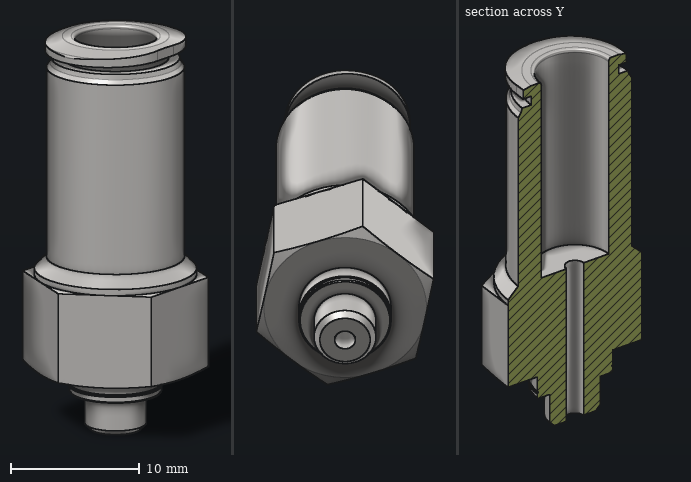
import cadquery as cq
import math

COLLAR_BOTTOM = 3.0
COLLAR_HEIGHT = 2.0
HEX_HEIGHT = 7.5
RIM_HEIGHT = 0.5
BODY_TOP = 30.05
OVERALL_HEIGHT = 31.8
FLANGE_THICKNESS = 1.0

SPIGOT_DIA = 4.83
COLLAR_DIA = 7.2
HEX_ACROSS_FLATS = 12.7
RIM_DIA = HEX_ACROSS_FLATS
BODY_DIA = 10.8
NECK_DIA = 8.35
BORE_DIA = 6.35
PORT_DIA = 1.61

TIP_CHAMFER = 0.45
GASKET_THICKNESS = 0.6
GASKET_EDGE = 0.1
BODY_EDGE_STEP = 0.38
BODY_BEVEL_INSET = 0.25
BODY_TOP_INSET = 0.38
HEX_CHAMFER_ANGLE = 15
FLANGE_WIDTH = 9.8
FLANGE_LENGTH = 11.8
FLANGE_SLOPE_ANGLE = 12
FLANGE_EDGE_RADIUS = 0.2
BORE_EDGE_RADIUS = 0.3

GASKET_TOP = COLLAR_BOTTOM + GASKET_THICKNESS
HEX_BOTTOM = COLLAR_BOTTOM + COLLAR_HEIGHT
HEX_TOP = HEX_BOTTOM + HEX_HEIGHT
RIM_TOP = HEX_TOP + RIM_HEIGHT
SHOULDER_TOP = RIM_TOP + (RIM_DIA - BODY_DIA) / 2
FLANGE_BOTTOM = OVERALL_HEIGHT - FLANGE_THICKNESS
BORE_FLOOR = SHOULDER_TOP


def revolve_profile(points):
    """Revolve a closed (radius, z) outline about the Z axis."""
    return cq.Workplane("XZ").polyline(points).close().revolve(360, (0, 0), (0, 1))


def cylinder(diameter, bottom, top):
    """Upright cylinder on the Z axis."""
    return cq.Workplane("XY").workplane(offset=bottom).circle(diameter / 2).extrude(top - bottom)


def make_spigot():
    """Chamfered tip below the collar."""
    return cylinder(SPIGOT_DIA, 0, COLLAR_BOTTOM).faces("<Z").chamfer(TIP_CHAMFER)


def make_collar():
    """Collar under the hexagon and a gasket ring, both bevelled to leave a V-groove between them."""
    gasket = cylinder(COLLAR_DIA, COLLAR_BOTTOM, GASKET_TOP).edges().chamfer(GASKET_EDGE)
    collar = cylinder(COLLAR_DIA, GASKET_TOP, HEX_BOTTOM).faces("<Z").chamfer(GASKET_EDGE)
    return collar.union(gasket)


def make_hexagon():
    """Hexagon with flats facing +X and -X and its lower corners chamfered."""
    across_corners = HEX_ACROSS_FLATS / math.cos(math.radians(30))
    hexagon = (
        cq.Workplane("XY")
        .workplane(offset=HEX_BOTTOM)
        .transformed(rotate=(0, 0, 90))
        .polygon(6, across_corners)
        .extrude(HEX_HEIGHT)
    )
    flat_radius = HEX_ACROSS_FLATS / 2
    envelope_radius = across_corners
    rise = (envelope_radius - flat_radius) * math.tan(math.radians(HEX_CHAMFER_ANGLE))
    envelope = revolve_profile([
        (0, HEX_BOTTOM),
        (flat_radius, HEX_BOTTOM),
        (envelope_radius, HEX_BOTTOM + rise),
        (envelope_radius, HEX_TOP),
        (0, HEX_TOP),
    ])
    return hexagon.intersect(envelope)


def make_body():
    """Rim, 45 degree shoulder, sleeve with a double-bevelled top, and neck."""
    body_radius = BODY_DIA / 2
    return revolve_profile([
        (0, HEX_TOP),
        (RIM_DIA / 2, HEX_TOP),
        (RIM_DIA / 2, RIM_TOP),
        (body_radius, SHOULDER_TOP),
        (body_radius, BODY_TOP - 2 * BODY_EDGE_STEP),
        (body_radius - BODY_BEVEL_INSET, BODY_TOP - BODY_EDGE_STEP),
        (body_radius - BODY_TOP_INSET, BODY_TOP),
        (NECK_DIA / 2, BODY_TOP),
        (NECK_DIA / 2, FLANGE_BOTTOM),
        (0, FLANGE_BOTTOM),
    ])


def make_flange():
    """Obround release flange whose top slopes down to a rounded edge outside the neck diameter."""
    obround = (
        cq.Workplane("XY")
        .workplane(offset=FLANGE_BOTTOM)
        .slot2D(FLANGE_LENGTH, FLANGE_WIDTH, 90)
        .extrude(FLANGE_THICKNESS)
    )
    slope = math.radians(FLANGE_SLOPE_ANGLE)
    neck_radius = NECK_DIA / 2
    outer_radius = FLANGE_LENGTH / 2
    corner_level = OVERALL_HEIGHT - (outer_radius - neck_radius) * math.tan(slope)
    tangent_length = FLANGE_EDGE_RADIUS * math.tan((math.pi / 2 - slope) / 2)
    slope_end = (
        outer_radius - tangent_length * math.cos(slope),
        corner_level + tangent_length * math.sin(slope),
    )
    envelope = (
        cq.Workplane("XZ")
        .moveTo(0, FLANGE_BOTTOM)
        .lineTo(outer_radius, FLANGE_BOTTOM)
        .lineTo(outer_radius, corner_level - tangent_length)
        .radiusArc(slope_end, -FLANGE_EDGE_RADIUS)
        .lineTo(neck_radius, OVERALL_HEIGHT)
        .lineTo(0, OVERALL_HEIGHT)
        .close()
        .revolve(360, (0, 0), (0, 1))
    )
    return obround.intersect(envelope)


def make_passage():
    """Tube bore with a rounded mouth, and the narrow port running out of the tip."""
    bore_radius = BORE_DIA / 2
    mouth_start = OVERALL_HEIGHT - BORE_EDGE_RADIUS
    bore = (
        cq.Workplane("XZ")
        .moveTo(0, BORE_FLOOR)
        .lineTo(bore_radius, BORE_FLOOR)
        .lineTo(bore_radius, mouth_start)
        .radiusArc((bore_radius + BORE_EDGE_RADIUS, OVERALL_HEIGHT), BORE_EDGE_RADIUS)
        .lineTo(0, OVERALL_HEIGHT)
        .close()
        .revolve(360, (0, 0), (0, 1))
    )
    return bore.union(cylinder(PORT_DIA, 0, BORE_FLOOR))


result = (
    make_spigot()
    .union(make_collar())
    .union(make_hexagon())
    .union(make_body())
    .union(make_flange())
    .cut(make_passage())
)